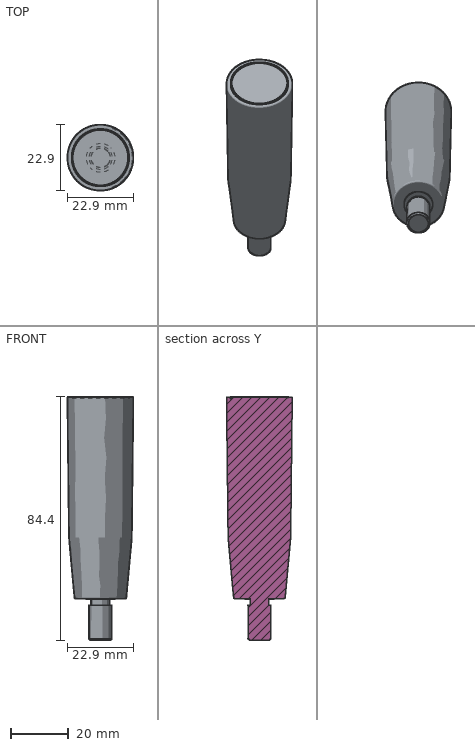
import cadquery as cq

height = 84.4

stud_diameter = 8.0
stud_tip_diameter = 6.8
stud_length = 12.2
stud_chamfer = (stud_diameter - stud_tip_diameter) / 2
neck_diameter = 6.6

collar_diameter = 10.0
collar_bottom = 14.3
collar_height = 0.2

grip_bottom = collar_bottom + collar_height
grip_bottom_diameter = 18.0
shoulder_z = 35.6
shoulder_diameter = 21.9
grip_top_diameter = 22.95
bottom_rounding = 0.5
top_rounding = 0.4

recess_diameter = 20.0
cap_diameter = 19.7
cap_chamfer = 0.25
groove_depth = 0.5


def make_grip():
    """Revolve the two tapers and round both ends."""
    profile = (
        cq.Workplane("XZ")
        .moveTo(0, grip_bottom)
        .lineTo(grip_bottom_diameter / 2, grip_bottom)
        .lineTo(shoulder_diameter / 2, shoulder_z)
        .lineTo(grip_top_diameter / 2, height)
        .lineTo(0, height)
        .close()
    )
    grip = profile.revolve(360, (0, 0, 0), (0, 1, 0))
    grip = grip.faces("<Z").edges().fillet(bottom_rounding)
    return grip.faces(">Z").edges().fillet(top_rounding)


def make_cap():
    """Chamfered disc that fills the recess except for the groove around it."""
    disc = cq.Workplane("XY").workplane(offset=height - groove_depth).circle(cap_diameter / 2)
    return disc.extrude(groove_depth).faces(">Z").edges().chamfer(cap_chamfer)


def make_stud():
    """Chamfered stud with a narrower neck and the collar under the grip."""
    stud = cq.Workplane("XY").circle(stud_diameter / 2).extrude(stud_length)
    stud = stud.faces("<Z").edges().chamfer(stud_chamfer)
    neck = cq.Workplane("XY").workplane(offset=stud_length).circle(neck_diameter / 2)
    collar = cq.Workplane("XY").workplane(offset=collar_bottom).circle(collar_diameter / 2)
    return stud.union(neck.extrude(collar_bottom - stud_length)).union(collar.extrude(collar_height))


recess = (
    cq.Workplane("XY")
    .workplane(offset=height - groove_depth)
    .circle(recess_diameter / 2)
    .extrude(groove_depth)
)

result = make_grip().union(make_stud()).cut(recess).union(make_cap())